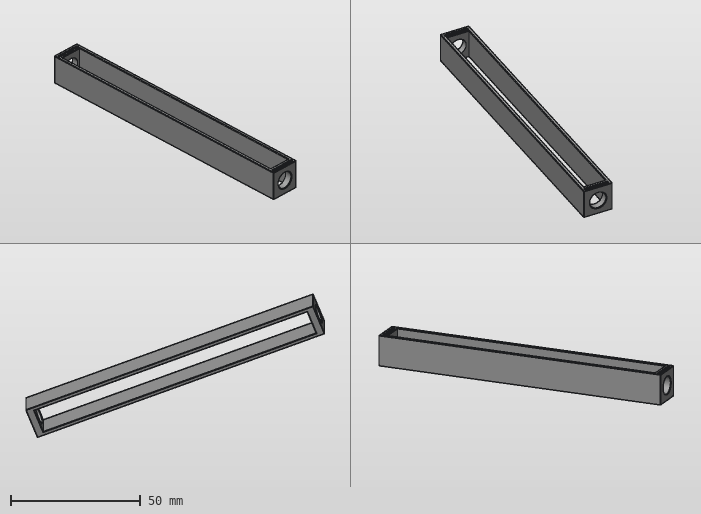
import cadquery as cq

length = 118.8
side = 12.5
side_wall = 1.5
end_wall = 3.1
edge_chamfer = 0.25

bore_diameter = 7.0

rim_chamfer = 0.3

groove_thickness = 0.75
groove_width = 10.2
groove_outer_skin = 1.13
groove_depth = 0.2

cavity_length = length - 2 * end_wall
cavity_width = side - 2 * side_wall


def block_under_top(size_x, size_y, depth, center_x=0.0):
    """Block reaching down from the top plane of the frame."""
    return (
        cq.Workplane("XY", origin=(center_x, 0, side / 2))
        .rect(size_x, size_y)
        .extrude(-depth)
    )


frame = block_under_top(length, side, side).edges().chamfer(edge_chamfer)

frame = frame.cut(block_under_top(cavity_length, cavity_width, side))
rim_reach_x = (cavity_length + end_wall) / 2
rim_reach_y = (cavity_width + side_wall) / 2
cavity_rims = cq.selectors.BoxSelector(
    (-rim_reach_x, -rim_reach_y, -side),
    (rim_reach_x, rim_reach_y, side),
)
frame = frame.faces("<Z or >Z").edges(cavity_rims).chamfer(rim_chamfer)

bore = cq.Workplane("YZ").circle(bore_diameter / 2).extrude(length / 2, both=True)
frame = frame.cut(bore)
frame = frame.faces("<X or >X").edges("%CIRCLE").chamfer(rim_chamfer)

groove_center = length / 2 - groove_outer_skin - groove_thickness / 2
for end in (-1, 1):
    groove = block_under_top(groove_thickness, groove_width, groove_depth, end * groove_center)
    frame = frame.cut(groove)

result = frame